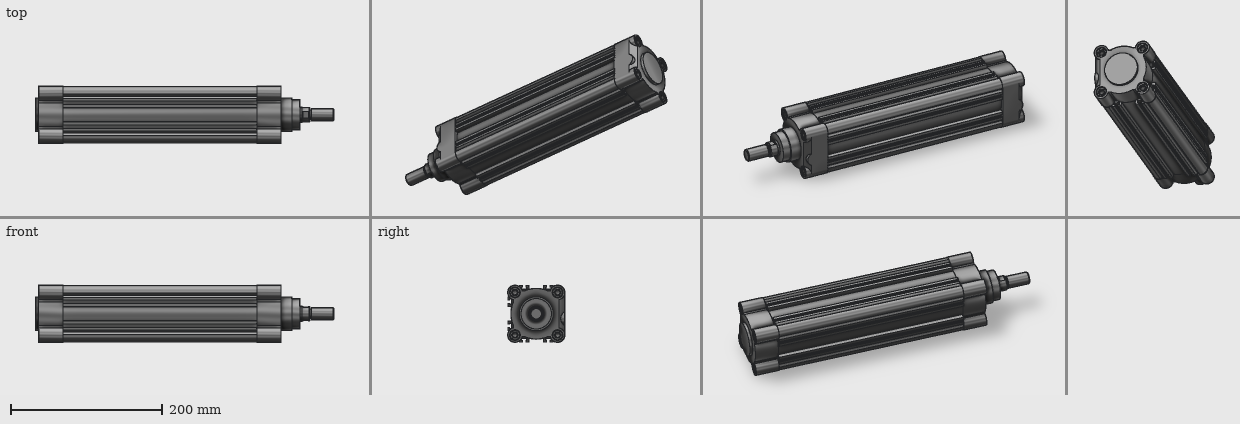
import cadquery as cq


TOTAL_LENGTH = 394.0
REAR_BOSS_LENGTH = 4.0
CAP_LENGTH = 32.0
TUBE_LENGTH = 256.5
TUBE_START = REAR_BOSS_LENGTH + CAP_LENGTH
FRONT_CAP_START = TUBE_START + TUBE_LENGTH
FRONT_CAP_END = FRONT_CAP_START + CAP_LENGTH

SECTION_SIZE = 75.5
HALF_SECTION = SECTION_SIZE / 2
BOLT_SPACING = 56.5
BOLT_OFFSET = BOLT_SPACING / 2
CORNER_RADIUS = HALF_SECTION - BOLT_OFFSET
BARREL_DIAMETER = 67.5
BARREL_RADIUS = BARREL_DIAMETER / 2
CORNERS = [(y * BOLT_OFFSET, z * BOLT_OFFSET) for y in (-1, 1) for z in (-1, 1)]

CAP_CORE_HALF = 30.0
PILOT_RADIUS = 22.5
PILOT_LENGTH = 14.0
NOSE_RADIUS = 20.0
NOSE_LENGTH = 10.5
PORT_RADIUS = 10.5
PORT_X = 13.0
PORT_Z = -6.5

BOLT_RECESS_RADIUS = 7.0
BOLT_RECESS_DEPTH = 4.7
BOLT_HEAD_RADIUS = 6.5
BOLT_HEAD_SETBACK = 0.8
HEX_ACROSS_CORNERS = 9.0
HEX_DEPTH = 4.0
DRILL_RADIUS = 3.0
DRILL_CONE_DEPTH = 1.38

TUBE_SIZE = 75.0
SLOT_SPACING = 32.0
SLOT_OPENING = 4.5
SLOT_WIDTH = 6.7
LIP_THICKNESS = 2.5
SLOT_DEPTH = 4.7
NOTCH_OFFSET = 24.5
NOTCH_WIDTH = 5.5
NOTCH_DEPTH = 2.5
CHANNEL_WIDTH = 19.7
CHANNEL_FLOOR_WIDTH = 17.5
CHANNEL_DEPTH = 8.0

NOSE_END = FRONT_CAP_END + PILOT_LENGTH + NOSE_LENGTH
COLLAR_RADIUS = 10.2
COLLAR_LENGTH = 2.8
ROD_RADIUS = 10.0
ROD_LENGTH = 10.5
ROD_CHAMFER = 1.0
NECK_RADIUS = 6.5
NECK_LENGTH = 2.0
THREAD_DIAMETER = 16.0
THREAD_CHAMFER = 1.0
FLAT_START = 1.5
FLAT_LENGTH = 7.0
FLATS_WIDTH = 17.7


def section_plane(x):
    """Plane across the cylinder at x, with local axes along Y and Z."""
    return cq.Workplane("YZ", origin=(x, 0, 0))


def disc(x, radius, length):
    return section_plane(x).circle(radius).extrude(length)


def cap_block(x):
    """Round barrel on a square core, with a round lobe at each bolt."""
    core = section_plane(x).rect(2 * CAP_CORE_HALF, 2 * CAP_CORE_HALF).extrude(CAP_LENGTH)
    lobes = section_plane(x).pushPoints(CORNERS).circle(CORNER_RADIUS).extrude(CAP_LENGTH)
    block = core.union(disc(x, BARREL_RADIUS, CAP_LENGTH)).union(lobes)
    return block.cut(beyond_core_side(x))


def beyond_core_side(x):
    """The part of the barrel beyond the flat +Y side of the core."""
    depth = HALF_SECTION - CAP_CORE_HALF
    return (
        section_plane(x)
        .center(CAP_CORE_HALF + depth / 2, 0)
        .rect(depth, 2 * (BOLT_OFFSET - CORNER_RADIUS))
        .extrude(CAP_LENGTH)
    )


def port_pad():
    """Pad on the +Y side, rising at 45 degrees from the outer end of the rear cap, with a round port boss."""
    end = REAR_BOSS_LENGTH
    pad_height = HALF_SECTION - CAP_CORE_HALF
    pad = (
        cq.Workplane("XY")
        .moveTo(end, CAP_CORE_HALF)
        .lineTo(end + pad_height, HALF_SECTION)
        .lineTo(TUBE_START, HALF_SECTION)
        .lineTo(TUBE_START, CAP_CORE_HALF)
        .close()
        .extrude(BOLT_OFFSET, both=True)
    )
    boss = (
        cq.Workplane("XZ", origin=(end + PORT_X, HALF_SECTION, PORT_Z))
        .circle(PORT_RADIUS)
        .extrude(pad_height)
    )
    return pad.union(boss)


def bolt_sockets():
    """Space around each bolt head of the rear cap, and its hexagon with a conical drill bottom."""
    end = REAR_BOSS_LENGTH
    head_face = end + BOLT_HEAD_SETBACK
    hex_bottom = head_face + HEX_DEPTH
    head_length = BOLT_RECESS_DEPTH - BOLT_HEAD_SETBACK
    at_corners = section_plane(head_face).pushPoints(CORNERS)
    recesses = section_plane(end).pushPoints(CORNERS).circle(BOLT_RECESS_RADIUS).extrude(BOLT_RECESS_DEPTH)
    heads = at_corners.circle(BOLT_HEAD_RADIUS).extrude(head_length)
    hexagons = at_corners.polygon(6, HEX_ACROSS_CORNERS).extrude(HEX_DEPTH)
    sockets = recesses.cut(heads).union(hexagons)
    for y, z in CORNERS:
        base = cq.Vector(hex_bottom, y, z)
        inward = cq.Vector(1, 0, 0)
        cone = cq.Solid.makeCone(DRILL_RADIUS, 0, DRILL_CONE_DEPTH, base, inward)
        sockets = sockets.union(cq.Workplane(cone))
    return sockets


def make_rear_cap():
    boss = disc(0, PILOT_RADIUS, REAR_BOSS_LENGTH)
    return cap_block(REAR_BOSS_LENGTH).union(port_pad()).union(boss).cut(bolt_sockets())


def mirrored_to_front(shape):
    """Mirror a rear-cap feature about the middle of the tube."""
    return shape.mirror("YZ", (TUBE_START + TUBE_LENGTH / 2, 0, 0))


def make_front_cap():
    pilot = disc(FRONT_CAP_END, PILOT_RADIUS, PILOT_LENGTH)
    nose = disc(FRONT_CAP_END + PILOT_LENGTH, NOSE_RADIUS, NOSE_LENGTH)
    cap = cap_block(FRONT_CAP_START).union(mirrored_to_front(port_pad())).union(pilot).union(nose)
    return cap.cut(mirrored_to_front(bolt_sockets()))


def side_grooves():
    """Grooves along the +Z side: a middle channel, two T-slots and two V-notches."""
    top = TUBE_SIZE / 2
    lip_bottom = top - LIP_THICKNESS
    floor = top - SLOT_DEPTH
    channel = (
        section_plane(TUBE_START)
        .polyline([
            (-CHANNEL_WIDTH / 2, top),
            (CHANNEL_WIDTH / 2, top),
            (CHANNEL_FLOOR_WIDTH / 2, top - CHANNEL_DEPTH),
            (-CHANNEL_FLOOR_WIDTH / 2, top - CHANNEL_DEPTH),
        ])
        .close()
        .extrude(TUBE_LENGTH)
    )
    grooves = channel.cut(disc(TUBE_START, BARREL_RADIUS, TUBE_LENGTH))
    for side in (-1, 1):
        slot_y = side * SLOT_SPACING / 2
        opening = (
            section_plane(TUBE_START)
            .center(slot_y, (top + floor) / 2)
            .rect(SLOT_OPENING, SLOT_DEPTH)
            .extrude(TUBE_LENGTH)
        )
        undercut = (
            section_plane(TUBE_START)
            .center(slot_y, (lip_bottom + floor) / 2)
            .rect(SLOT_WIDTH, lip_bottom - floor)
            .extrude(TUBE_LENGTH)
        )
        notch_y = side * NOTCH_OFFSET
        notch = (
            section_plane(TUBE_START)
            .polyline([
                (notch_y - NOTCH_WIDTH / 2, top),
                (notch_y + NOTCH_WIDTH / 2, top),
                (notch_y, top - NOTCH_DEPTH),
            ])
            .close()
            .extrude(TUBE_LENGTH)
        )
        grooves = grooves.union(opening).union(undercut).union(notch)
    return grooves


def make_tube():
    tube = section_plane(TUBE_START).rect(TUBE_SIZE, TUBE_SIZE).extrude(TUBE_LENGTH)
    tube = tube.edges("|X").fillet(CORNER_RADIUS)
    grooves = side_grooves()
    for quarter_turn in range(4):
        tube = tube.cut(grooves.rotate((0, 0, 0), (1, 0, 0), 90 * quarter_turn))
    return tube


def make_rod():
    """Rod end with a collar, two wrench flats, an undercut neck and a threaded end modelled plain."""
    rod_start = NOSE_END + COLLAR_LENGTH
    rod_end = rod_start + ROD_LENGTH
    thread_start = rod_end + NECK_LENGTH
    thread_length = TOTAL_LENGTH - thread_start
    shank = disc(rod_start, ROD_RADIUS, ROD_LENGTH).faces(">X").chamfer(ROD_CHAMFER)
    for side in (-1, 1):
        flat_cut = (
            cq.Workplane("XY")
            .box(FLAT_LENGTH, 2 * ROD_RADIUS, ROD_RADIUS, centered=(False, True, True))
            .translate((rod_start + FLAT_START, 0, side * (FLATS_WIDTH + ROD_RADIUS) / 2))
        )
        shank = shank.cut(flat_cut)
    collar = disc(NOSE_END, COLLAR_RADIUS, COLLAR_LENGTH)
    neck = disc(rod_end, NECK_RADIUS, NECK_LENGTH)
    thread = disc(thread_start, THREAD_DIAMETER / 2, thread_length).faces(">X").chamfer(THREAD_CHAMFER)
    return collar.union(shank).union(neck).union(thread)


rear_cap = make_rear_cap()
tube = make_tube()
front_cap = make_front_cap()
rod = make_rod()

result = cq.Compound.makeCompound([rear_cap.val(), tube.val(), front_cap.val(), rod.val()])